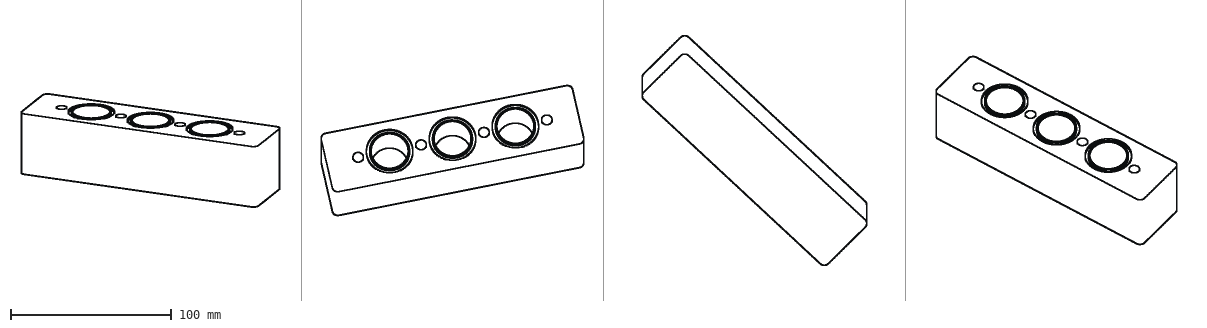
import cadquery as cq
import math

length = 160.0
width = 40.0
height = 40.0
corner_radius = 3.5

bore_pitch = length / 4
bore_count = 3
bore_diameter = 23.0
bore_depth = 24.0

groove_outer_diameter = 29.0
groove_inner_diameter = 25.0
groove_depth = 1.5

small_diameter = 6.5
small_depth = 19.2

drill_point_angle = 118.0


def row_positions(count):
    """X positions of features spaced one bore pitch apart, centred on the block."""
    return [(i - (count - 1) / 2) * bore_pitch for i in range(count)]


def drilled_hole(x, diameter, depth):
    """Blind hole from the top face: straight wall to the given depth, then a drill point."""
    radius = diameter / 2
    point_length = radius / math.tan(math.radians(drill_point_angle / 2))
    profile = (
        cq.Workplane("XZ")
        .moveTo(0, height)
        .lineTo(radius, height)
        .lineTo(radius, height - depth)
        .lineTo(0, height - depth - point_length)
        .close()
    )
    return profile.revolve(360, (0, 0, 0), (0, 1, 0)).translate((x, 0, 0))


def ring_groove(x):
    """Shallow annular groove cut into the top face around a bore."""
    return (
        cq.Workplane("XY", origin=(x, 0, height))
        .circle(groove_outer_diameter / 2)
        .circle(groove_inner_diameter / 2)
        .extrude(-groove_depth)
    )


result = (
    cq.Workplane("XY")
    .box(length, width, height, centered=(True, True, False))
    .edges("|Z")
    .fillet(corner_radius)
)

for bore_x in row_positions(bore_count):
    result = result.cut(drilled_hole(bore_x, bore_diameter, bore_depth))
    result = result.cut(ring_groove(bore_x))

for small_x in row_positions(bore_count + 1):
    result = result.cut(drilled_hole(small_x, small_diameter, small_depth))